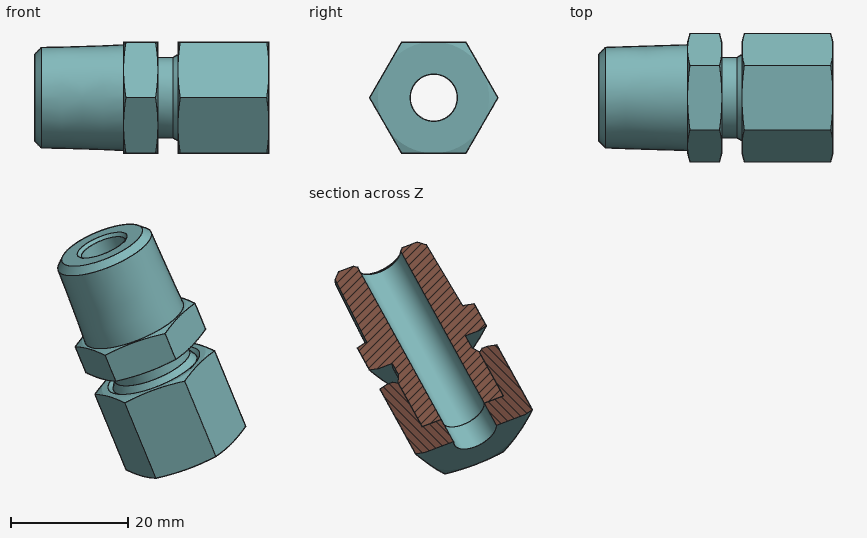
import cadquery as cq
import math

TOTAL_LENGTH = 40.0
ACROSS_FLATS = 19.0

THREAD_LENGTH = 15.2
THREAD_START_RADIUS = 8.6
THREAD_END_RADIUS = 9.05
THREAD_CHAMFER = 1.2
BODY_HEX_WIDTH = 5.85
NECK_RADIUS = 13.8 / 2
NECK_LENGTH = 2.6
STUB_RADIUS = 7.7
STUB_CHAMFER_ANGLE = 30.0
BORE_RADIUS = 4.0
BORE_CHAMFER = 0.55

NUT_LENGTH = 15.5
NUT_END_WALL = 5.0
NUT_MOUTH_RADIUS = 8.4

HEX_BEVEL_ANGLE = 15.0

CORNER_RADIUS = ACROSS_FLATS / math.sqrt(3)
FLAT_RADIUS = ACROSS_FLATS / 2
HEX_BEVEL_LENGTH = (CORNER_RADIUS - FLAT_RADIUS) * math.tan(math.radians(HEX_BEVEL_ANGLE))
NECK_START = THREAD_LENGTH + BODY_HEX_WIDTH
NECK_END = NECK_START + NECK_LENGTH
STUB_CHAMFER_LENGTH = (STUB_RADIUS - NECK_RADIUS) / math.tan(math.radians(STUB_CHAMFER_ANGLE))
NUT_START = TOTAL_LENGTH - NUT_LENGTH
STUB_START = NECK_END + STUB_CHAMFER_LENGTH
STUB_END = TOTAL_LENGTH - NUT_END_WALL


def revolve_about_x(profile_points):
    """Solid of revolution about X from (x, radius) points."""
    profile = cq.Workplane("XY").polyline(profile_points).close()
    return profile.revolve(360, (0, 0, 0), (1, 0, 0))


def bevelled_hexagon(start, length):
    """Hexagonal prism along X, corners on +/-Y, with both ends turned to a shallow cone."""
    end = start + length
    prism = cq.Workplane("YZ", origin=(start, 0, 0)).polygon(6, 2 * CORNER_RADIUS).extrude(length)
    turned_envelope = revolve_about_x([
        (start, 0),
        (start, FLAT_RADIUS),
        (start + HEX_BEVEL_LENGTH, CORNER_RADIUS),
        (end - HEX_BEVEL_LENGTH, CORNER_RADIUS),
        (end, FLAT_RADIUS),
        (end, 0),
    ])
    return prism.intersect(turned_envelope)


def tapered_thread():
    """Tapered end with a chamfered tip."""
    return revolve_about_x([
        (0, 0),
        (0, THREAD_START_RADIUS - THREAD_CHAMFER),
        (THREAD_CHAMFER, THREAD_START_RADIUS),
        (THREAD_LENGTH, THREAD_END_RADIUS),
        (THREAD_LENGTH, 0),
    ])


def neck_and_stub():
    """Neck behind the hexagon, widening by a cone to the stub that fills the nut socket."""
    return revolve_about_x([
        (NECK_START, 0),
        (NECK_START, NECK_RADIUS),
        (NECK_END, NECK_RADIUS),
        (STUB_START, STUB_RADIUS),
        (STUB_END, STUB_RADIUS),
        (STUB_END, 0),
    ])


def through_bore():
    """Straight bore along the whole part."""
    return cq.Workplane("YZ").circle(BORE_RADIUS).extrude(TOTAL_LENGTH)


def bore_mouth():
    """45 degree chamfer at the threaded end of the bore."""
    return revolve_about_x([
        (0, 0),
        (0, BORE_RADIUS + BORE_CHAMFER),
        (BORE_CHAMFER, BORE_RADIUS),
        (BORE_CHAMFER, 0),
    ])


def make_fitting_body():
    body = bevelled_hexagon(THREAD_LENGTH, BODY_HEX_WIDTH)
    body = body.union(tapered_thread()).union(neck_and_stub())
    return body.cut(through_bore()).cut(bore_mouth())


def nut_socket():
    """Socket around the stub, countersunk from its open end to the start of the stub."""
    return revolve_about_x([
        (NUT_START, 0),
        (NUT_START, NUT_MOUTH_RADIUS),
        (STUB_START, STUB_RADIUS),
        (STUB_END, STUB_RADIUS),
        (STUB_END, 0),
    ])


def make_nut():
    nut = bevelled_hexagon(NUT_START, NUT_LENGTH)
    return nut.cut(nut_socket()).cut(through_bore())


fitting_body = make_fitting_body()
nut = make_nut()

result = cq.Compound.makeCompound([fitting_body.val(), nut.val()])